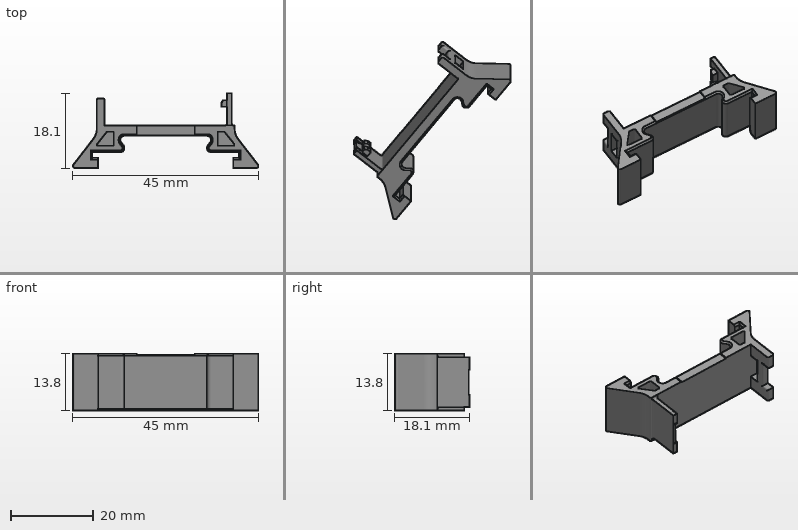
import math

import cadquery as cq

total_length = 45.0
height = 13.8
mid_height = height / 2
half_length = total_length / 2
end_wall_x = 16.75
bar_top_y = 10.36
bar_bottom_y = 7.8

flare_angle = math.radians(37.6)
flare_blend_radius = 4.0
toe_radius = 0.5
end_corner_radius = 0.25
foot_inner_x = 16.36
foot_lip_y = 2.5

slot_wall_x = 17.75
slot_top_y = 3.85
jaw_radius = 1.0
jaw_tip_x = 11.0
jaw_hollow_x = 10.0
jaw_chamfer = 0.45

label_length = 14.0
label_depth = 0.25
label_bottom_y = 7.0

pocket_inner_x = 12.58
pocket_corner_x = 14.2
pocket_outer_x = 17.0
pocket_bottom_y = 5.36
pocket_top_y = 8.85
pocket_corner_radius = 0.3
pocket_floor = 2.0

window_arm_thickness = 1.95
window_arm_tip_y = 16.9
window_height = 6.65
window_top_y = 12.9
notch_height = 6.8
notch_floor_y = 14.85
window_arm_fillet = 0.45

latch_arm_inner_x = 14.84
latch_arm_thickness = 1.2
latch_arm_height = 12.1
latch_arm_tip_y = 18.15
latch_base_fillet = 0.45
tooth_height = 8.0
tooth_tip_x = 13.5
tooth_bottom_y = 14.83
tooth_top_y = 16.5
tooth_lead_width = 0.42
tooth_lead_length = 0.73
groove_radius = 1.29
relief_height = 6.05
relief_tip_y = 18.0
relief_depth = 0.45

slack = 0.1


def box_between(x_range, y_range, z_size):
    """Box over the given X and Y ranges, centred on the middle of the height."""
    x_size = x_range[1] - x_range[0]
    y_size = y_range[1] - y_range[0]
    return (
        cq.Workplane("XY")
        .box(x_size, y_size, z_size)
        .translate((sum(x_range) / 2, sum(y_range) / 2, mid_height))
    )


def prism(points, z_size):
    """Straight-sided outline extruded evenly about the middle of the height."""
    bottom = mid_height - z_size / 2
    return cq.Workplane("XY").workplane(offset=bottom).polyline(points).close().extrude(z_size)


def make_half_body():
    """The -X half: foot, slot, jaw and half of the bar."""
    toe_half_angle = (math.pi / 2 - flare_angle) / 2
    toe_x = half_length - toe_radius + toe_radius / math.tan(toe_half_angle)
    flare_top_y = (toe_x - end_wall_x) / math.tan(flare_angle)

    tip_y = slot_top_y + jaw_radius
    hollow_y = bar_bottom_y - jaw_radius
    shift_x = jaw_tip_x - jaw_hollow_x
    shift_y = hollow_y - tip_y
    distance = math.hypot(shift_x, shift_y)
    tangent_angle = math.atan2(shift_y, shift_x) - math.acos(2 * jaw_radius / distance)

    def on_tip(angle):
        return (-jaw_tip_x + jaw_radius * math.cos(angle), tip_y + jaw_radius * math.sin(angle))

    def on_hollow(angle):
        return (-jaw_hollow_x - jaw_radius * math.cos(angle), hollow_y - jaw_radius * math.sin(angle))

    middle_angle = (tangent_angle - math.pi / 2) / 2
    half = (
        cq.Workplane("XY")
        .moveTo(0, bar_top_y)
        .lineTo(-end_wall_x, bar_top_y)
        .lineTo(-end_wall_x, flare_top_y)
        .lineTo(-toe_x, 0)
        .lineTo(-foot_inner_x, 0)
        .lineTo(-foot_inner_x, foot_lip_y)
        .lineTo(-slot_wall_x, foot_lip_y)
        .lineTo(-slot_wall_x, slot_top_y)
        .lineTo(-jaw_tip_x, slot_top_y)
        .threePointArc(on_tip(middle_angle), on_tip(tangent_angle))
        .lineTo(*on_hollow(tangent_angle))
        .threePointArc(on_hollow(middle_angle), (-jaw_hollow_x, bar_bottom_y))
        .lineTo(0, bar_bottom_y)
        .close()
        .extrude(height)
    )
    toe_edge = cq.NearestToPointSelector((-toe_x, 0, mid_height))
    blend_edge = cq.NearestToPointSelector((-end_wall_x, flare_top_y, mid_height))
    half = half.edges(toe_edge).fillet(toe_radius)
    return half.edges(blend_edge).fillet(flare_blend_radius)


def make_body():
    """Both halves joined, with the slot, jaw and bar edges chamfered at both Z faces."""
    half = make_half_body()
    body = half.union(half.mirror("YZ")).clean()
    end_corner = cq.NearestToPointSelector((end_wall_x, bar_top_y, mid_height))
    body = body.edges(end_corner).fillet(end_corner_radius)
    for z in (0, height):
        lower_edges = cq.selectors.BoxSelector(
            (-slot_wall_x - slack, foot_lip_y - slack, z - slack),
            (slot_wall_x + slack, bar_bottom_y + slack, z + slack),
        )
        body = body.edges(lower_edges).chamfer(jaw_chamfer)
    return body


def make_label_recess():
    """Shallow recess in the top face, open at both long sides of the bar."""
    recess = box_between((-label_length / 2, label_length / 2), (label_bottom_y, bar_top_y), label_depth)
    return recess.translate((0, 0, mid_height - label_depth / 2))


def make_pockets():
    """Mirrored pair of four-sided pockets that follow the slope of the feet."""
    points = [
        (-pocket_inner_x, pocket_bottom_y),
        (-pocket_inner_x, pocket_top_y),
        (-pocket_corner_x, pocket_top_y),
        (-pocket_outer_x, pocket_bottom_y),
    ]
    pocket = cq.Workplane("XY").workplane(offset=pocket_floor).polyline(points).close().extrude(height)
    pocket = pocket.edges("|Z").fillet(pocket_corner_radius)
    return pocket.union(pocket.mirror("YZ"))


def make_window_arm():
    """Full-height arm with a window at its root and a rounded notch in its tip."""
    x_range = (-end_wall_x, -end_wall_x + window_arm_thickness)
    arm = box_between(x_range, (bar_bottom_y, window_arm_tip_y), height)
    arm = arm.cut(box_between(x_range, (notch_floor_y, window_arm_tip_y), notch_height))
    rim = cq.selectors.BoxSelector(
        (x_range[0] - slack, notch_floor_y - window_arm_fillet, window_arm_fillet),
        (x_range[1] + slack, window_arm_tip_y + slack, height - window_arm_fillet),
    )
    arm = arm.edges(rim).edges("not |X").fillet(window_arm_fillet)
    return arm.cut(box_between(x_range, (bar_top_y, window_top_y), window_height))


def make_latch_arm():
    """Thin arm with a grooved, chamfered tooth and a sloped relief above it."""
    outer_x = latch_arm_inner_x + latch_arm_thickness
    arm = box_between((latch_arm_inner_x, outer_x), (bar_top_y, latch_arm_tip_y), latch_arm_height)
    relief = prism(
        [
            (latch_arm_inner_x, tooth_top_y),
            (latch_arm_inner_x + relief_depth, relief_tip_y),
            (outer_x, relief_tip_y),
            (outer_x, latch_arm_tip_y),
            (latch_arm_inner_x, latch_arm_tip_y),
        ],
        relief_height,
    )
    tooth = prism(
        [
            (latch_arm_inner_x, tooth_bottom_y),
            (tooth_tip_x, tooth_bottom_y),
            (tooth_tip_x, tooth_top_y - tooth_lead_length),
            (tooth_tip_x + tooth_lead_width, tooth_top_y),
            (latch_arm_inner_x, tooth_top_y),
        ],
        tooth_height,
    )
    groove = (
        cq.Workplane("XZ", origin=(tooth_tip_x, tooth_top_y, mid_height))
        .circle(groove_radius)
        .extrude(tooth_top_y - tooth_bottom_y)
    )
    return arm.cut(relief).union(tooth.cut(groove))


def add_latch_arm(body):
    """Join the latch arm to the bar and round its root all the way round."""
    body = body.union(make_latch_arm())
    outer_x = latch_arm_inner_x + latch_arm_thickness
    half_height = latch_arm_height / 2
    root_edges = cq.selectors.BoxSelector(
        (latch_arm_inner_x - slack, bar_top_y - slack, mid_height - half_height - slack),
        (outer_x + slack, bar_top_y + slack, mid_height + half_height + slack),
    )
    return body.edges(root_edges).fillet(latch_base_fillet)


body = add_latch_arm(make_body())
body = body.union(make_window_arm())
result = body.cut(make_label_recess()).cut(make_pockets())